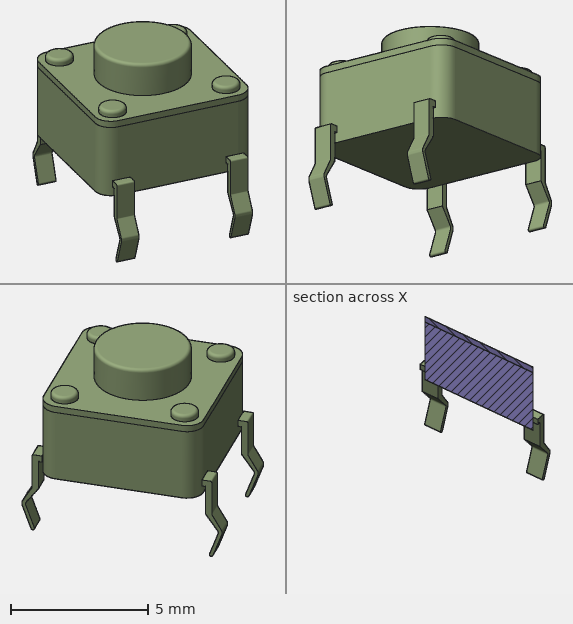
import cadquery as cq
import math


body_width = 6.096
corner_radius = 0.635
housing_height = 2.794
cover_thickness = 0.254
cover_top = housing_height + cover_thickness

button_diameter = 3.556
button_height = 1.27
stud_diameter = 1.016
stud_height = 0.254
rim_radius = 0.127

corner_pitch = 4.572
terminal_width = 0.7112
terminal_thickness = 0.254
terminal_top = 0.635
terminal_bottom = -2.522
terminal_span = 7.62
shank_span = 6.858
shank_bottom = -0.762
shoulder_radius = 0.0635

foot_thickness = 0.14
elbow_top = -1.4
elbow_bottom = -1.525
blade_angle = 20
elbow_radius = 0.11
bend_radius = 0.0508


def rounded_block(height):
    """Square block with rounded upright corners, standing on Z = 0."""
    block = cq.Workplane("XY").box(body_width, body_width, height, centered=(True, True, False))
    return block.edges("|Z").fillet(corner_radius)


def make_housing():
    return rounded_block(housing_height)


def rounded_post(diameter, height):
    """Upright round post with a rounded top rim, standing on Z = 0."""
    return cq.Workplane("XY").circle(diameter / 2).extrude(height).faces(">Z").edges().fillet(rim_radius)


def make_cover():
    """Cover plate with the button in its centre and a stud in each corner."""
    cover = rounded_block(cover_thickness).translate((0, 0, housing_height))
    cover = cover.union(rounded_post(button_diameter, button_height).translate((0, 0, cover_top)))
    stud = rounded_post(stud_diameter, stud_height)
    for x in (-corner_pitch / 2, corner_pitch / 2):
        for y in (-corner_pitch / 2, corner_pitch / 2):
            cover = cover.union(stud.translate((x, y, cover_top)))
    return cover


def round_corner(terminal, point, radius):
    """Round the edge that runs along Y through a corner (x, z) of the terminal's profile."""
    x, z = point
    return terminal.edges(cq.NearestToPointSelector((x, 0, z))).fillet(radius)


def make_terminal(side_y):
    """Terminal on the +X side, its flat end resting against the housing."""
    wall = body_width / 2
    shank_outer = shank_span / 2
    shank_inner = shank_outer - terminal_thickness
    elbow_outer = terminal_span / 2
    elbow_inner = elbow_outer - foot_thickness

    shoulder = (shank_outer, terminal_top)
    outer_bend = (shank_outer, shank_bottom)
    upper_elbow = (elbow_outer, elbow_top)
    lower_elbow = (elbow_outer, elbow_bottom)

    taper_angle = math.atan2(elbow_outer - shank_outer, shank_bottom - elbow_top)
    upper_inner_elbow = (elbow_inner, elbow_top - foot_thickness * math.tan(taper_angle / 2))
    lean = math.radians(blade_angle)
    lower_inner_elbow = (elbow_inner, elbow_bottom + foot_thickness * math.tan(lean / 2))

    tip_radius = foot_thickness / 2
    tip_z = terminal_bottom + tip_radius
    blade_drop = (elbow_bottom + lower_inner_elbow[1]) / 2 - tip_z
    tip_x = (elbow_outer + elbow_inner) / 2 - blade_drop * math.tan(lean)
    across = (tip_radius * math.cos(lean), tip_radius * math.sin(lean))

    profile = (
        cq.Workplane("XZ")
        .moveTo(wall, terminal_top)
        .lineTo(*shoulder)
        .lineTo(*outer_bend)
        .lineTo(*upper_elbow)
        .lineTo(*lower_elbow)
        .lineTo(tip_x + across[0], tip_z - across[1])
        .threePointArc((tip_x - across[1], tip_z - across[0]), (tip_x - across[0], tip_z + across[1]))
        .lineTo(*lower_inner_elbow)
        .lineTo(*upper_inner_elbow)
        .lineTo(shank_inner, shank_bottom)
        .lineTo(shank_inner, terminal_top - terminal_thickness)
        .lineTo(wall, terminal_top - terminal_thickness)
        .close()
    )
    terminal = profile.extrude(terminal_width / 2, both=True)
    terminal = round_corner(terminal, shoulder, shoulder_radius)
    terminal = round_corner(terminal, outer_bend, bend_radius)
    for elbow_corner in (upper_elbow, lower_elbow, upper_inner_elbow, lower_inner_elbow):
        terminal = round_corner(terminal, elbow_corner, elbow_radius)
    return terminal.translate((0, side_y * corner_pitch / 2, 0))


housing = make_housing()
cover = make_cover()
terminals = []
for side_y in (-1, 1):
    right_terminal = make_terminal(side_y)
    terminals.append(right_terminal.val())
    terminals.append(right_terminal.mirror("YZ").val())

result = cq.Compound.makeCompound([housing.val(), cover.val(), *terminals])